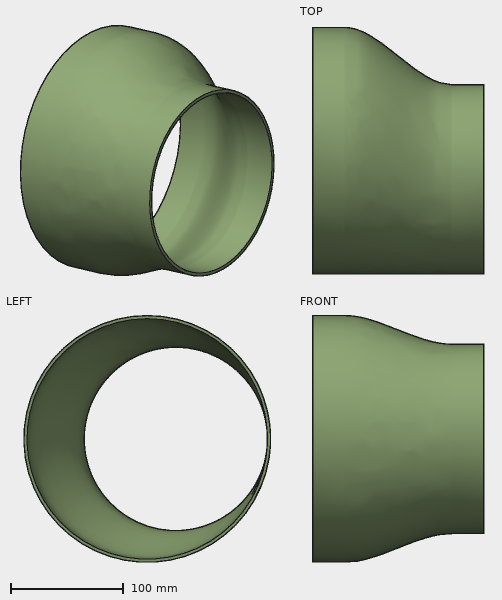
import cadquery as cq

large_diameter = 219.0
small_diameter = 168.3
wall = 2.8
length = 152.0
collar_length = 28.5
section_count = 13

transition_length = length - 2 * collar_length
large_radius = large_diameter / 2
small_radius = small_diameter / 2
axis_direction = cq.Vector(1, 0, 0)


def smooth_step(t):
    """Rise from 0 to 1 with a level start and end."""
    return t * t * (3 - 2 * t)


def axis_offset(outer_radius):
    """Y of the pipe centre that keeps the -Y side flush along the part."""
    return outer_radius - large_radius


def collar(x_start, outer_radius, inset):
    """Straight round end, made smaller all round by the inset."""
    base = cq.Vector(x_start, axis_offset(outer_radius), 0)
    return cq.Workplane(
        cq.Solid.makeCylinder(outer_radius - inset, collar_length, base, axis_direction)
    )


def transition(inset):
    """S-shaped body between the collars, made smaller all round by the inset."""
    sections = []
    for i in range(section_count):
        t = i / (section_count - 1)
        outer_radius = large_radius + (small_radius - large_radius) * smooth_step(t)
        center = cq.Vector(collar_length + t * transition_length, axis_offset(outer_radius), 0)
        sections.append(cq.Wire.makeCircle(outer_radius - inset, center, axis_direction))
    return cq.Workplane(cq.Solid.makeLoft(sections))


def reducer_body(inset):
    """Full-length solid, made smaller all round by the inset."""
    large_end = collar(0, large_radius, inset)
    small_end = collar(length - collar_length, small_radius, inset)
    return large_end.union(transition(inset)).union(small_end)


result = reducer_body(0).cut(reducer_body(wall))